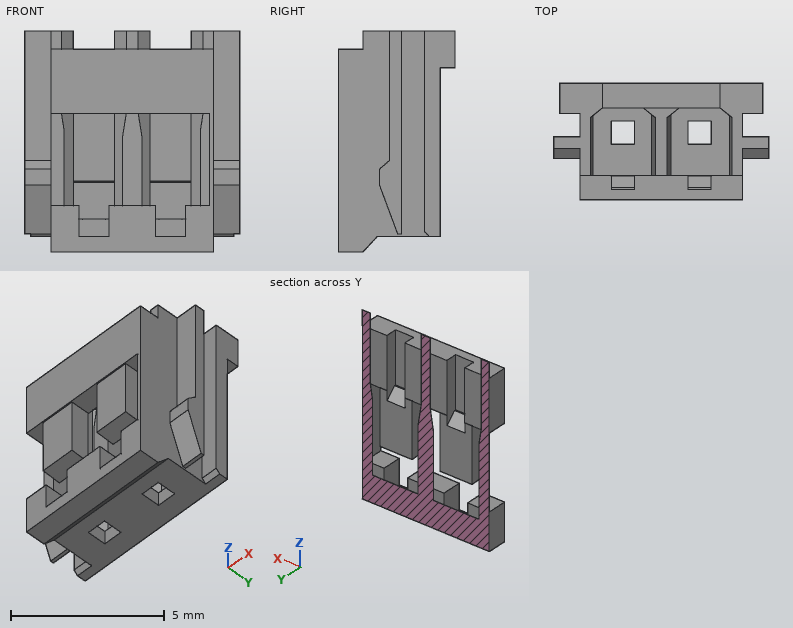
import cadquery as cq


height = 7.2
depth = 3.8
rail_span = 7.0
body_width = 5.3
base_z = 0.505

slab_depth = 0.8
slab_top_z = 6.6
base_slope_y = 1.27

flange_width = 6.61
flange_front_y = 2.81
flange_step_z = 5.99
flange_step_depth = 0.48
flange_chamfer = 0.16
recess_floor_z = 6.57

rail_front_y = 1.67
rail_back_y = 2.06
rail_bottom_z = 0.6
rail_toe_y = 1.93
bump_y = 1.34
bump_bottom_z = 2.18
bump_top_z = 2.7
bump_shoulder_z = 2.99

pitch = 2.5
way_centres = (-pitch / 2, pitch / 2)
cavity_width = 2.11
cavity_back_y = 2.99
cavity_back_width = 1.34
cavity_chamfer_y = 2.68
cavity_floor_z = 1.07
outer_wall_growth = 0.09
middle_wall_growth = 0.13
wall_taper_ratio = 6.2
pin_hole = 0.75
pin_hole_y = 2.19

window_top_z = 4.51
sill_z = 1.51
window_skin = 0.145
sill_notch_width = 0.98
block_setback = 0.04
block_back_y = 0.785
block_front_z = 2.31
block_back_z = 2.27

notch_front_y = 0.34
notch_ramp_y = 0.395


def box(x_range, y_range, z_range):
    """Box between the given limits on each axis."""
    (x0, x1), (y0, y1), (z0, z1) = x_range, y_range, z_range
    return cq.Workplane("XY").box(x1 - x0, y1 - y0, z1 - z0, centered=False).translate((x0, y0, z0))


def side_prism(points, width, centre=0):
    """Outline in Y and Z, extruded along X about the given centre."""
    return cq.Workplane("YZ").polyline(points).close().extrude(width / 2, both=True).translate((centre, 0, 0))


def make_body():
    return side_prism(
        [
            (0, 0),
            (slab_depth, 0),
            (base_slope_y, base_z),
            (depth - flange_step_depth, base_z),
            (depth - flange_step_depth, flange_step_z),
            (depth, flange_step_z),
            (depth, height),
            (slab_depth, height),
            (slab_depth, slab_top_z),
            (0, slab_top_z),
        ],
        body_width,
    )


def make_flange():
    return side_prism(
        [
            (flange_front_y, base_z + flange_chamfer),
            (flange_front_y + flange_chamfer, base_z),
            (depth - flange_step_depth, base_z),
            (depth - flange_step_depth, flange_step_z),
            (depth, flange_step_z),
            (depth, height),
            (flange_front_y, height),
        ],
        flange_width,
    )


def make_rails():
    return side_prism(
        [
            (rail_back_y, rail_bottom_z),
            (rail_toe_y, rail_bottom_z),
            (bump_y, bump_bottom_z),
            (bump_y, bump_top_z),
            (rail_front_y, bump_shoulder_z),
            (rail_front_y, height),
            (rail_back_y, height),
        ],
        rail_span,
    )


def make_cavity(centre):
    """Cavity whose side walls thicken below the top of the window."""
    half_width = cavity_width / 2
    half_back = cavity_back_width / 2
    plan = (
        cq.Workplane("XY")
        .polyline(
            [
                (centre - half_width, slab_depth),
                (centre + half_width, slab_depth),
                (centre + half_width, cavity_chamfer_y),
                (centre + half_back, cavity_back_y),
                (centre - half_back, cavity_back_y),
                (centre - half_width, cavity_chamfer_y),
            ]
        )
        .close()
        .extrude(height)
    )
    side = 1 if centre > 0 else -1
    outer_x = centre + side * half_width
    inner_x = centre - side * half_width
    low_outer_x = outer_x - side * outer_wall_growth
    low_inner_x = inner_x + side * middle_wall_growth
    elevation = (
        cq.Workplane("XZ")
        .polyline(
            [
                (low_outer_x, cavity_floor_z),
                (low_outer_x, window_top_z - outer_wall_growth * wall_taper_ratio),
                (outer_x, window_top_z),
                (outer_x, height),
                (inner_x, height),
                (inner_x, window_top_z),
                (low_inner_x, window_top_z - middle_wall_growth * wall_taper_ratio),
                (low_inner_x, cavity_floor_z),
            ]
        )
        .close()
        .extrude(-depth)
    )
    return plan.intersect(elevation)


def make_recess():
    """Drop in the top of the back wall between the outermost cavity corners."""
    half_width = (pitch + cavity_back_width) / 2
    return box((-half_width, half_width), (cavity_back_y, depth), (recess_floor_z, height))


def make_window():
    """Front window, open to the -X side and closed by a thin skin at +X."""
    half_width = body_width / 2
    return box((-half_width, half_width - window_skin), (0, slab_depth), (sill_z, window_top_z))


def make_block(centre):
    """Locking block that hangs from the slab into the window."""
    return side_prism(
        [
            (block_setback, block_front_z),
            (block_back_y, block_back_z),
            (block_back_y, window_top_z),
            (block_setback, window_top_z),
        ],
        cavity_back_width,
        centre,
    )


def make_slab_notch(centre):
    """Notch in the slab that ends in a 45 degree ramp inside the locking block."""
    ramp_bottom_z = window_top_z - (slab_depth - notch_ramp_y)
    return side_prism(
        [
            (notch_front_y, slab_top_z),
            (notch_front_y, window_top_z),
            (notch_ramp_y, window_top_z),
            (slab_depth, ramp_bottom_z),
            (slab_depth, slab_top_z),
        ],
        pin_hole,
        centre,
    )


def make_sill_notch(centre):
    half_width = sill_notch_width / 2
    return box((centre - half_width, centre + half_width), (0, slab_depth), (base_z, sill_z))


def make_pin_hole(centre):
    half = pin_hole / 2
    return box(
        (centre - half, centre + half),
        (pin_hole_y - half, pin_hole_y + half),
        (0, cavity_floor_z),
    )


result = make_body().union(make_flange()).union(make_rails())
result = result.cut(make_recess()).cut(make_window())
for way_x in way_centres:
    result = result.cut(make_cavity(way_x))
    result = result.union(make_block(way_x))
    result = result.cut(make_slab_notch(way_x))
    result = result.cut(make_sill_notch(way_x))
    result = result.cut(make_pin_hole(way_x))